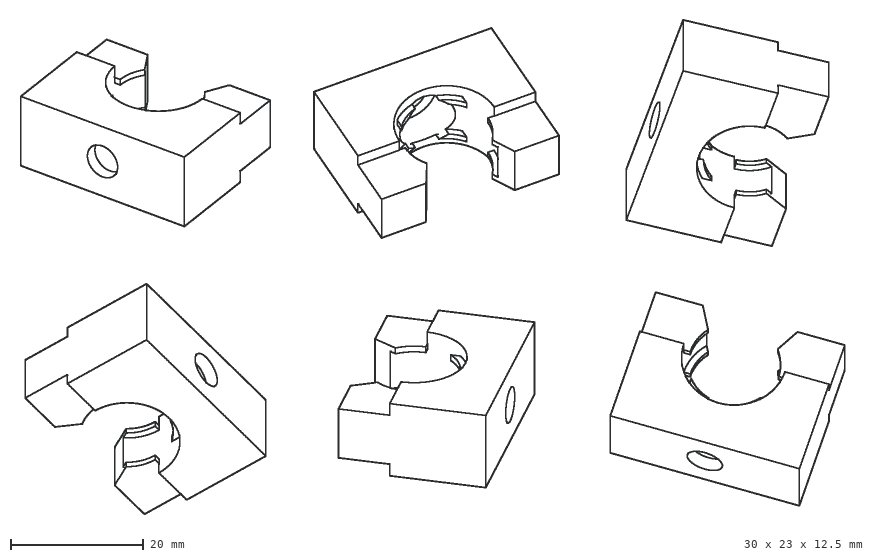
import cadquery as cq
import math

width = 30.0
body_depth = width / 2
body_height = 12.5
jaw_depth = 8.0
jaw_height = 8.5

bore_radius = 8.0
lip_radius = 7.0
lip_thickness = 1.0
lip_reach = 0.05

throat_width = 11.0
mouth_width = 15.0

hole_diameter = 5.55
head_diameter = 9.4
head_seat = 2.0

throat_y = math.sqrt(lip_radius**2 - (throat_width / 2) ** 2)


def centered_box(size_x, y_start, y_end, size_z):
    """Box centred on X and Z, spanning the given Y range."""
    box = cq.Workplane("XY").box(size_x, y_end - y_start, size_z)
    return box.translate((0, (y_start + y_end) / 2, 0))


def cylinder(radius, height):
    """Cylinder on the bore axis, centred on Z."""
    return cq.Workplane("XY", origin=(0, 0, -height / 2)).circle(radius).extrude(height)


def make_block():
    body = centered_box(width, -body_depth, 0, body_height)
    jaws = centered_box(width, -body_depth, jaw_depth, jaw_height)
    return body.union(jaws)


def make_mouth():
    half_throat = throat_width / 2
    half_mouth = mouth_width / 2
    outline = [
        (-half_throat, 0),
        (half_throat, 0),
        (half_throat, throat_y),
        (half_mouth, jaw_depth),
        (-half_mouth, jaw_depth),
        (-half_throat, throat_y),
    ]
    return cq.Workplane("XY").polyline(outline).close().extrude(body_height / 2, both=True)


def make_lips():
    groove_height = jaw_height - 2 * lip_thickness
    rings = cylinder(bore_radius, jaw_height).cut(cylinder(lip_radius, jaw_height))
    rings = rings.cut(cylinder(bore_radius, groove_height))
    jaw_zone = centered_box(width, -lip_reach, jaw_depth, jaw_height)
    rear_zone = centered_box(throat_width, -bore_radius, -lip_radius / 2, jaw_height)
    return rings.intersect(jaw_zone.union(rear_zone))


def make_screw_hole():
    hole = cq.Workplane("XZ").circle(hole_diameter / 2).extrude(body_depth)
    head_pocket = cq.Workplane("XZ").circle(head_diameter / 2).extrude(body_depth - head_seat)
    return hole.union(head_pocket)


result = make_block().cut(cylinder(bore_radius, body_height))
result = result.union(make_lips()).cut(make_mouth()).cut(make_screw_hole())